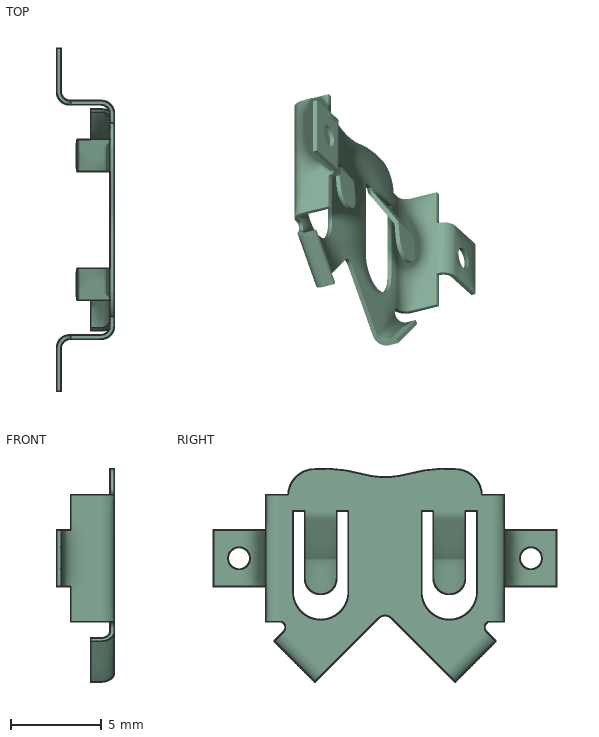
import cadquery as cq
import math


THICKNESS = 0.25
BEND_OUTER = 0.75

HALF_WIDTH = 9.5
DEPTH = 3.2
BOTTOM_Z = -6.85

DIP_Z = 4.5
DIP_RADIUS = 4.75
DIP_HALF_WIDTH = 1.29
CREST_END = (3.99, 4.94)
SHOULDER_RADIUS = 1.5
SHOULDER_Y = 5.37

FLANGE_HEIGHT = 7.05
FLANGE_DEPTH = 2.42
FLANGE_OUTER_Y = 6.61
BEND_LINE_Y = FLANGE_OUTER_Y - BEND_OUTER

TAB_BEND_LINE_Y = FLANGE_OUTER_Y - THICKNESS + BEND_OUTER
TAB_HEIGHT = 3.15
HOLE_DIAMETER = 1.2
HOLE_Y = 8.08

LEG_WIDTH = 3.2
LEG_UPPER_OFFSET = 1.1
LEG_LOWER_OFFSET = LEG_UPPER_OFFSET - LEG_WIDTH
LEG_REACH = LEG_LOWER_OFFSET - BOTTOM_Z * math.sqrt(2)
LEG_BEND_REACH = LEG_REACH - BEND_OUTER
LIP_DEPTH = 1.32
NOTCH_RADIUS = 0.5

RELIEF_START_Y = 5.70
RELIEF_MIDDLE = (5.53, -3.89)

SLOT_Y = 3.56
SLOT_WIDTH = 3.05
SLOT_TOP_Z = 2.61
SLOT_BOTTOM_Z = -3.39
TONGUE_WIDTH = 1.78
TONGUE_TIP_Z = -2.0
TONGUE_SLOPE = 35.3
TIP_SLOPE = 5
TONGUE_BEND_RADIUS = 0.5
TONGUE_ROOT_RADIUS = 0.75
RAMP_LENGTH = 2.64
TIP_STOCK_LENGTH = 3.0


def leg_point(reach, offset):
    """(Y, Z) of a point at a distance along the leg and a sideways offset from the origin."""
    return ((reach + offset) / math.sqrt(2), (offset - reach) / math.sqrt(2))


def offset_point(point, heading, shift):
    """Point moved sideways, to the left of a heading in degrees."""
    angle = math.radians(heading)
    return (point[0] - shift * math.sin(angle), point[1] + shift * math.cos(angle))


def bent_strip(origin, direction, width, steps):
    """Sheet strip leaving the plate along a (Y, Z) direction.

    A step is ("run", length) or ("bend", degrees, outer radius). Positive bends go toward -X.
    """
    along = cq.Vector(0, *direction)
    plane = cq.Plane((0, *origin), along, along.cross(cq.Vector(-1, 0, 0)))
    back = (0.0, 0.0)
    heading = 0.0
    profile = cq.Workplane(plane).moveTo(*back)
    front_segments = []

    for kind, size, *radius in steps:
        front_start = offset_point(back, heading, THICKNESS)
        if kind == "run":
            angle = math.radians(heading)
            back = (back[0] + size * math.cos(angle), back[1] + size * math.sin(angle))
            profile = profile.lineTo(*back)
            front_segments.append((front_start, None))
            continue
        back_radius = radius[0] if size > 0 else THICKNESS - radius[0]
        center = offset_point(back, heading, back_radius)
        halfway = heading + size / 2
        heading += size
        back = offset_point(center, heading, -back_radius)
        profile = profile.threePointArc(offset_point(center, halfway, -back_radius), back)
        front_middle = offset_point(center, halfway, THICKNESS - back_radius)
        front_segments.append((front_start, front_middle))

    profile = profile.lineTo(*offset_point(back, heading, THICKNESS))
    for end, middle in reversed(front_segments):
        profile = profile.threePointArc(middle, end) if middle else profile.lineTo(*end)
    return profile.close().extrude(width / 2, both=True)


def sheet_sketch():
    """Workplane on the front face of the plate, with local axes Y and Z."""
    return cq.Workplane("YZ", origin=(-THICKNESS, 0, 0))


def half_plate():
    """Flat plate on the +Y side, up to its bend lines, before the slot is cut."""

    def dip_z(y):
        return DIP_Z + DIP_RADIUS - math.sqrt(DIP_RADIUS**2 - y**2)

    shoulder_z = FLANGE_HEIGHT / 2
    notch_tip_z = LEG_LOWER_OFFSET * math.sqrt(2)
    notch_tangent = NOTCH_RADIUS / math.sqrt(2)
    notch_top_z = notch_tip_z - NOTCH_RADIUS * (math.sqrt(2) - 1)
    notch_side_angle = math.radians(45 / 2)
    notch_middle = (
        NOTCH_RADIUS * math.sin(notch_side_angle),
        notch_top_z - NOTCH_RADIUS * (1 - math.cos(notch_side_angle)),
    )
    return (
        sheet_sketch()
        .moveTo(0, DIP_Z)
        .threePointArc(
            (DIP_HALF_WIDTH / 2, dip_z(DIP_HALF_WIDTH / 2)),
            (DIP_HALF_WIDTH, dip_z(DIP_HALF_WIDTH)),
        )
        .tangentArcPoint(CREST_END, relative=False)
        .radiusArc((SHOULDER_Y, shoulder_z), SHOULDER_RADIUS)
        .lineTo(BEND_LINE_Y, shoulder_z)
        .lineTo(BEND_LINE_Y, -FLANGE_HEIGHT / 2)
        .lineTo(RELIEF_START_Y, -FLANGE_HEIGHT / 2)
        .threePointArc(RELIEF_MIDDLE, leg_point(LEG_BEND_REACH, LEG_UPPER_OFFSET))
        .lineTo(*leg_point(LEG_BEND_REACH, LEG_LOWER_OFFSET))
        .lineTo(notch_tangent, notch_tip_z - notch_tangent)
        .threePointArc(notch_middle, (0, notch_top_z))
        .close()
        .extrude(THICKNESS)
    )


def round_ended_prism(width, top_z, bottom_z, depth):
    """Prism from X = 0 toward -X, square at the top and round at the bottom."""
    radius = width / 2
    return (
        cq.Workplane("YZ")
        .moveTo(SLOT_Y - radius, top_z)
        .lineTo(SLOT_Y + radius, top_z)
        .lineTo(SLOT_Y + radius, bottom_z + radius)
        .threePointArc((SLOT_Y, bottom_z), (SLOT_Y - radius, bottom_z + radius))
        .close()
        .extrude(-depth)
    )


def slot():
    return round_ended_prism(SLOT_WIDTH, SLOT_TOP_Z, SLOT_BOTTOM_Z, THICKNESS)


def tongue():
    steps = [
        ("bend", TONGUE_SLOPE, TONGUE_ROOT_RADIUS),
        ("run", RAMP_LENGTH),
        ("bend", TIP_SLOPE - TONGUE_SLOPE, TONGUE_BEND_RADIUS),
        ("run", TIP_STOCK_LENGTH),
    ]
    strip = bent_strip((SLOT_Y, SLOT_TOP_Z), (0, -1), TONGUE_WIDTH, steps)
    outline = round_ended_prism(TONGUE_WIDTH, SLOT_TOP_Z, TONGUE_TIP_Z, DEPTH)
    return strip.intersect(outline)


def side_flange():
    """Z-bent strip, full height up to the flange depth and tab height beyond it."""
    steps = [
        ("bend", 90, BEND_OUTER),
        ("run", DEPTH - 2 * BEND_OUTER),
        ("bend", -90, BEND_OUTER),
        ("run", HALF_WIDTH - TAB_BEND_LINE_Y),
    ]
    strip = bent_strip((BEND_LINE_Y, 0), (1, 0), FLANGE_HEIGHT, steps)
    trim_height = (FLANGE_HEIGHT - TAB_HEIGHT) / 2
    trim_z = (FLANGE_HEIGHT + TAB_HEIGHT) / 4
    for z in (trim_z, -trim_z):
        trim = cq.Workplane("YZ", origin=(-FLANGE_DEPTH, HALF_WIDTH / 2, z))
        strip = strip.cut(trim.rect(HALF_WIDTH, trim_height).extrude(-DEPTH))
    hole = cq.Workplane("YZ").center(HOLE_Y, 0).circle(HOLE_DIAMETER / 2).extrude(-DEPTH)
    return strip.cut(hole)


def leg_lip():
    middle_offset = (LEG_UPPER_OFFSET + LEG_LOWER_OFFSET) / 2
    steps = [("bend", 90, BEND_OUTER), ("run", LIP_DEPTH - BEND_OUTER)]
    return bent_strip(leg_point(LEG_BEND_REACH, middle_offset), leg_point(1, 0), LEG_WIDTH, steps)


half = half_plate().cut(slot())
for feature in (tongue(), side_flange(), leg_lip()):
    half = half.union(feature)

result = half.union(half.mirror("XZ"))